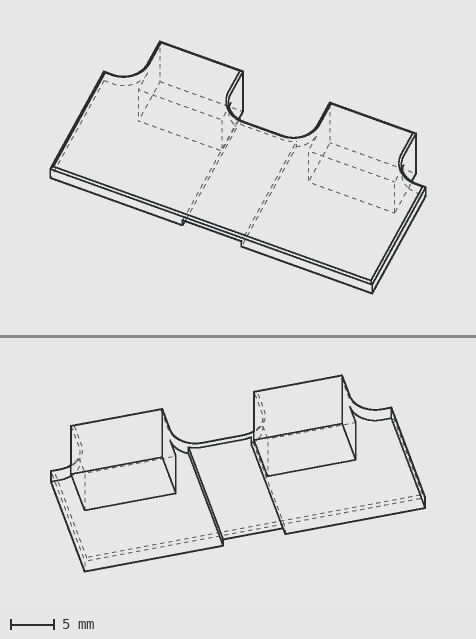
import cadquery as cq

length = 40.5
depth = 21.7
height = 8.1
plate_thickness = 2.03
edge_chamfer = 0.3

shoulder_y = 15.2
corner_radius = 3.0
foot_depth = 6.1
left_tab = (4.15, 14.62)
right_tab = (25.52, 36.38)

channel_start = 16.65
channel_end = 24.02
channel_depth = 1.0


def plate_outline():
    """Plate with two rear tabs, blended into the shoulders by concave arcs."""
    arc_y = shoulder_y + corner_radius
    left_start, left_end = left_tab
    right_start, right_end = right_tab
    return (
        cq.Workplane("XY")
        .lineTo(length, 0)
        .lineTo(length, shoulder_y)
        .lineTo(right_end + corner_radius, shoulder_y)
        .radiusArc((right_end, arc_y), corner_radius)
        .lineTo(right_end, depth)
        .lineTo(right_start, depth)
        .lineTo(right_start, arc_y)
        .radiusArc((right_start - corner_radius, shoulder_y), corner_radius)
        .lineTo(left_end + corner_radius, shoulder_y)
        .radiusArc((left_end, arc_y), corner_radius)
        .lineTo(left_end, depth)
        .lineTo(left_start, depth)
        .lineTo(left_start, arc_y)
        .radiusArc((left_start - corner_radius, shoulder_y), corner_radius)
        .lineTo(0, shoulder_y)
        .close()
    )


def box_between(start, end):
    """Box spanning two opposite corner points."""
    size = [high - low for low, high in zip(start, end)]
    return cq.Workplane("XY").box(*size, centered=False).translate(start)


plate_bottom = height - plate_thickness
plate = plate_outline().extrude(plate_thickness).translate((0, 0, plate_bottom))
plate = plate.faces(">Z").edges().chamfer(edge_chamfer)

channel = box_between(
    (channel_start, 0, plate_bottom),
    (channel_end, depth, plate_bottom + channel_depth),
)
result = plate.cut(channel)

for tab_start, tab_end in (left_tab, right_tab):
    foot = box_between(
        (tab_start, depth - foot_depth, 0),
        (tab_end, depth, plate_bottom),
    )
    result = result.union(foot)